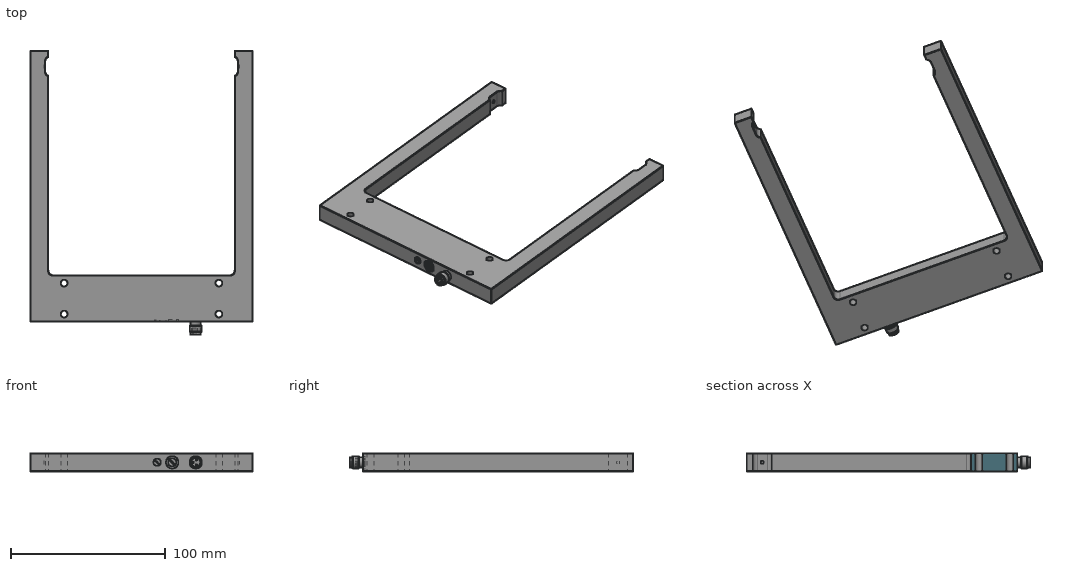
import cadquery as cq

TOTAL_LENGTH = 183.4
WIDTH = 144.0
THICKNESS = 12.0
FRAME_LENGTH = 175.0
ARM_WIDTH = 12.0
BASE_DEPTH = 30.0
CORNER_CHAMFER = 0.4
RIM_CHAMFER = 0.4
INNER_CORNER_RADIUS = 3.0
MID_Z = THICKNESS / 2

NOTCH_DEPTH = 2.0
NOTCH_TIP_GAP = 3.9
NOTCH_LENGTH = 12.5
NOTCH_CORNER_RADIUS = 3.0
NOTCH_CENTER_Y = FRAME_LENGTH - NOTCH_TIP_GAP - NOTCH_LENGTH / 2
NOTCH_FLOOR_X = WIDTH / 2 - ARM_WIDTH + NOTCH_DEPTH
BEAM_HOLE_DIAMETER = 2.0
BEAM_HOLE_DEPTH = 1.0

HOLE_DIAMETER = 4.2
HOLE_SPACING_X = 100.0
HOLE_SPACING_Y = 20.0
HOLE_FRONT_GAP = 5.0

INDICATOR_X = 10.0
INDICATOR_DIAMETER = 4.8
INDICATOR_DEPTH = 0.7
TRIMMER_X = 19.8
TRIMMER_RECESS_DIAMETER = 8.0
TRIMMER_RECESS_DEPTH = 1.5
TRIMMER_DIAMETER = 5.3
INDICATOR_SLOT_WIDTH = 0.45
TRIMMER_SLOT_WIDTH = 0.7
SLOT_DEPTH = 0.5
SLOT_TILT = 45

CONNECTOR_X = 35.0
CONNECTOR_LENGTH = TOTAL_LENGTH - FRAME_LENGTH
NECK_DIAMETER = 6.8
NECK_END = 2.2
COLLAR_DIAMETER = 8.0
COLLAR_CHAMFER_LENGTH = 0.7
COLLAR_CHAMFER_RISE = 0.4
COLLAR_END = 6.8
SPIGOT_DIAMETER = 6.8
BORE_DIAMETER = 5.9
BORE_DEPTH = 4.5
PIN_DIAMETER = 1.0
PIN_LENGTH = 3.7
PIN_OFFSETS = [(-1.7, 0), (0.4, 1.7), (0.4, -1.7)]


def front_disc(x, diameter, start, end, z=MID_Z):
    """Round bar along Y between two distances in front of the base face."""
    return (
        cq.Workplane("XZ", origin=(x, -start, z))
        .circle(diameter / 2)
        .extrude(end - start)
    )


def notch(side):
    """Notch with rounded inner corners in the arm on the given side (-1 or 1)."""
    cutter_width = NOTCH_LENGTH
    center_x = side * (NOTCH_FLOOR_X - cutter_width / 2)
    return (
        cq.Workplane("XY", origin=(center_x, NOTCH_CENTER_Y, 0))
        .rect(cutter_width, NOTCH_LENGTH)
        .extrude(THICKNESS)
        .edges("|Z")
        .fillet(NOTCH_CORNER_RADIUS)
    )


def beam_hole(side):
    """Blind lens hole in the notch floor, facing the other arm."""
    return (
        cq.Workplane("YZ", origin=(side * NOTCH_FLOOR_X, NOTCH_CENTER_Y, MID_Z))
        .circle(BEAM_HOLE_DIAMETER / 2)
        .extrude(side * BEAM_HOLE_DEPTH)
    )


def frame():
    opening_width = WIDTH - 2 * ARM_WIDTH
    body = (
        cq.Workplane("XY")
        .rect(WIDTH, FRAME_LENGTH)
        .extrude(THICKNESS)
        .translate((0, FRAME_LENGTH / 2, 0))
        .edges("|Z")
        .chamfer(CORNER_CHAMFER)
    )
    opening = (
        cq.Workplane("XY")
        .rect(opening_width, 2 * (FRAME_LENGTH - BASE_DEPTH))
        .extrude(THICKNESS)
        .edges("|Z")
        .fillet(INNER_CORNER_RADIUS)
        .translate((0, FRAME_LENGTH, 0))
    )
    body = body.cut(opening)
    for side in (-1, 1):
        body = body.cut(notch(side))
    body = body.faces("<Z or >Z").chamfer(RIM_CHAMFER)
    for side in (-1, 1):
        body = body.cut(beam_hole(side))
    holes = (
        cq.Workplane("XY", origin=(0, HOLE_FRONT_GAP + HOLE_SPACING_Y / 2, 0))
        .rarray(HOLE_SPACING_X, HOLE_SPACING_Y, 2, 2)
        .circle(HOLE_DIAMETER / 2)
        .extrude(THICKNESS)
    )
    return body.cut(holes)


def screw_slot(x, length, width, face_depth):
    """Diagonal screwdriver slot cut below a face lying face_depth behind the base face."""
    return (
        cq.Workplane("XZ", origin=(x, face_depth, MID_Z))
        .transformed(rotate=(0, 0, -SLOT_TILT))
        .rect(length, width)
        .extrude(-SLOT_DEPTH)
    )


def connector():
    neck = NECK_DIAMETER / 2
    collar = COLLAR_DIAMETER / 2
    spigot = SPIGOT_DIAMETER / 2
    profile = [
        (0, 0),
        (neck, 0),
        (neck, -NECK_END),
        (collar - COLLAR_CHAMFER_RISE, -NECK_END),
        (collar, -NECK_END - COLLAR_CHAMFER_LENGTH),
        (collar, -COLLAR_END + COLLAR_CHAMFER_LENGTH),
        (collar - COLLAR_CHAMFER_RISE, -COLLAR_END),
        (spigot, -COLLAR_END),
        (spigot, -CONNECTOR_LENGTH),
        (0, -CONNECTOR_LENGTH),
    ]
    plug = (
        cq.Workplane("XY")
        .polyline(profile)
        .close()
        .revolve(360, (0, 0), (0, 1))
        .translate((CONNECTOR_X, 0, MID_Z))
    )
    bore_floor = CONNECTOR_LENGTH - BORE_DEPTH
    plug = plug.cut(front_disc(CONNECTOR_X, BORE_DIAMETER, bore_floor, CONNECTOR_LENGTH))
    pin_end = bore_floor + PIN_LENGTH
    for x, z in PIN_OFFSETS:
        pin = front_disc(CONNECTOR_X + x, PIN_DIAMETER, bore_floor, pin_end, MID_Z + z)
        plug = plug.union(pin)
    return plug


def cut_indicator(body):
    body = body.cut(front_disc(INDICATOR_X, INDICATOR_DIAMETER, -INDICATOR_DEPTH, 0))
    return body.cut(screw_slot(INDICATOR_X, INDICATOR_DIAMETER, INDICATOR_SLOT_WIDTH, INDICATOR_DEPTH))


def add_trimmer(body):
    """Ring-shaped recess around a flush slotted screw head."""
    recess = front_disc(TRIMMER_X, TRIMMER_RECESS_DIAMETER, -TRIMMER_RECESS_DEPTH, 0)
    head = front_disc(TRIMMER_X, TRIMMER_DIAMETER, -TRIMMER_RECESS_DEPTH, 0)
    slot = screw_slot(TRIMMER_X, TRIMMER_DIAMETER, TRIMMER_SLOT_WIDTH, 0)
    return body.cut(recess.cut(head)).cut(slot)


result = add_trimmer(cut_indicator(frame())).union(connector())